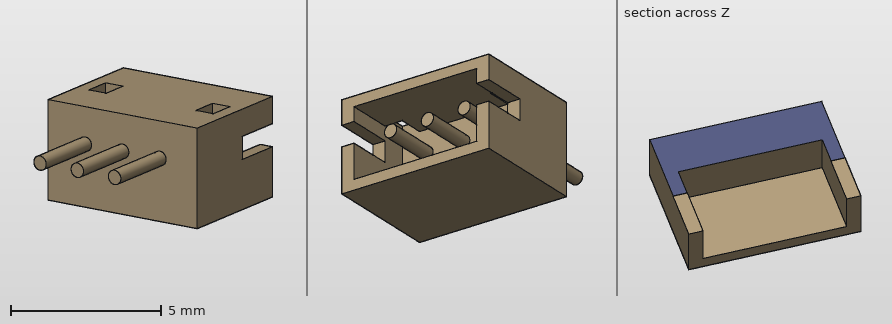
import cadquery as cq

housing_width = 6.0
housing_depth = 4.5
housing_height = 3.5

side_wall = 0.5
top_wall = 0.4
bottom_wall = 0.4

slot_length = 1.8
slot_height = 0.8
slot_top_drop = 0.95

window_width = 0.7
window_length = 1.0

pin_count = 3
pin_pitch = 1.5
pin_diameter = 0.5
pin_tail = 2.7
pin_mouth_setback = 0.7
pin_top_drop = 1.3

cavity_width = housing_width - 2 * side_wall
cavity_depth = slot_length + window_length


def box(width, depth, height, x_center, y_start, z_start):
    """Box centred on x_center, rising in +Y and +Z from its start values."""
    corner_box = cq.Workplane("XY").box(width, depth, height, centered=(True, False, False))
    return corner_box.translate((x_center, y_start, z_start))


def make_cavity():
    cavity_height = housing_height - top_wall - bottom_wall
    return box(cavity_width, cavity_depth, cavity_height, 0, housing_depth - cavity_depth, bottom_wall)


def make_side_slots():
    """One bar across the full width cuts the slot in both side walls."""
    slot_bottom = housing_height - slot_top_drop - slot_height
    return box(housing_width, slot_length, slot_height, 0, housing_depth - slot_length, slot_bottom)


def make_window(side):
    """Window on the -X (side = -1) or +X (side = 1) half, starting where the side slot ends."""
    x_center = side * (cavity_width - window_width) / 2
    y_start = housing_depth - slot_length - window_length
    return box(window_width, window_length, top_wall, x_center, y_start, housing_height - top_wall)


def make_pin(x_center):
    pin_length = pin_tail + housing_depth - pin_mouth_setback
    pin = cq.Workplane("XZ").circle(pin_diameter / 2).extrude(-pin_length)
    return pin.translate((x_center, -pin_tail, housing_height - pin_top_drop))


result = box(housing_width, housing_depth, housing_height, 0, 0, 0)
result = result.cut(make_cavity()).cut(make_side_slots())
for side in (-1, 1):
    result = result.cut(make_window(side))
for index in range(pin_count):
    result = result.union(make_pin((index - (pin_count - 1) / 2) * pin_pitch))